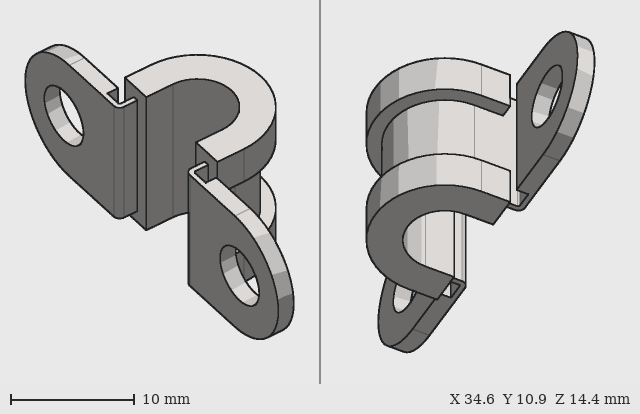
import cadquery as cq

LENGTH = 34.6
DEPTH = 10.9
HEIGHT = 14.4

CUSHION_RADIUS = 6.33
BORE_RADIUS = 3.4
LEG_LENGTH = 2.63

GROOVE_RADIUS = 5.1
GROOVE_HEIGHT = 7.35

STRAP_HEIGHT = 11.97
STRAP_THICKNESS = 0.5
EAR_THICKNESS = 1.55
EAR_START_X = 6.7
HOLE_DIAMETER = 5.33
HOLE_X = 12.0
BEND_OUTER_RADIUS = 0.6
BEND_INNER_RADIUS = 0.17

half_length = LENGTH / 2
ear_radius = STRAP_HEIGHT / 2
ear_center_x = half_length - ear_radius
mount_face_y = CUSHION_RADIUS - DEPTH
web_inner_x = GROOVE_RADIUS - STRAP_THICKNESS


def u_prism(outer_radius, inner_radius, height):
    """U-shaped prism, centred on Z, with its legs pointing toward -Y."""
    return (
        cq.Workplane("XY")
        .workplane(offset=-height / 2)
        .moveTo(-outer_radius, -LEG_LENGTH)
        .vLineTo(0)
        .threePointArc((0, outer_radius), (outer_radius, 0))
        .vLineTo(-LEG_LENGTH)
        .hLineTo(inner_radius)
        .vLineTo(0)
        .threePointArc((0, inner_radius), (-inner_radius, 0))
        .vLineTo(-LEG_LENGTH)
        .close()
        .extrude(height)
    )


def make_cushion():
    """Full-height saddle with the strap groove cut around its outside."""
    saddle = u_prism(CUSHION_RADIUS, BORE_RADIUS, HEIGHT)
    return saddle.cut(u_prism(CUSHION_RADIUS, GROOVE_RADIUS, GROOVE_HEIGHT))


def make_strap_end():
    """Web, bend and mounting ear on the +X side."""
    sheet_back_y = mount_face_y + STRAP_THICKNESS
    bent_sheet = (
        cq.Workplane("XY")
        .workplane(offset=-STRAP_HEIGHT / 2)
        .moveTo(web_inner_x, -LEG_LENGTH)
        .vLineTo(mount_face_y)
        .hLineTo(half_length)
        .vLineTo(mount_face_y + EAR_THICKNESS)
        .hLineTo(EAR_START_X)
        .vLineTo(sheet_back_y)
        .hLineTo(GROOVE_RADIUS)
        .vLineTo(-LEG_LENGTH)
        .close()
        .extrude(STRAP_HEIGHT)
    )
    outer_corner = cq.selectors.NearestToPointSelector((web_inner_x, mount_face_y, 0))
    inner_corner = cq.selectors.NearestToPointSelector((GROOVE_RADIUS, sheet_back_y, 0))
    bent_sheet = bent_sheet.edges(outer_corner).fillet(BEND_OUTER_RADIUS)
    bent_sheet = bent_sheet.edges(inner_corner).fillet(BEND_INNER_RADIUS)

    rounded_outline = (
        cq.Workplane("XZ")
        .moveTo(0, -ear_radius)
        .hLineTo(ear_center_x)
        .threePointArc((half_length, 0), (ear_center_x, ear_radius))
        .hLineTo(0)
        .close()
        .extrude(DEPTH)
    )
    hole = cq.Workplane("XZ").center(HOLE_X, 0).circle(HOLE_DIAMETER / 2).extrude(DEPTH)
    return bent_sheet.intersect(rounded_outline).cut(hole)


strap_end = make_strap_end()
result = make_cushion().union(strap_end).union(strap_end.mirror("YZ"))